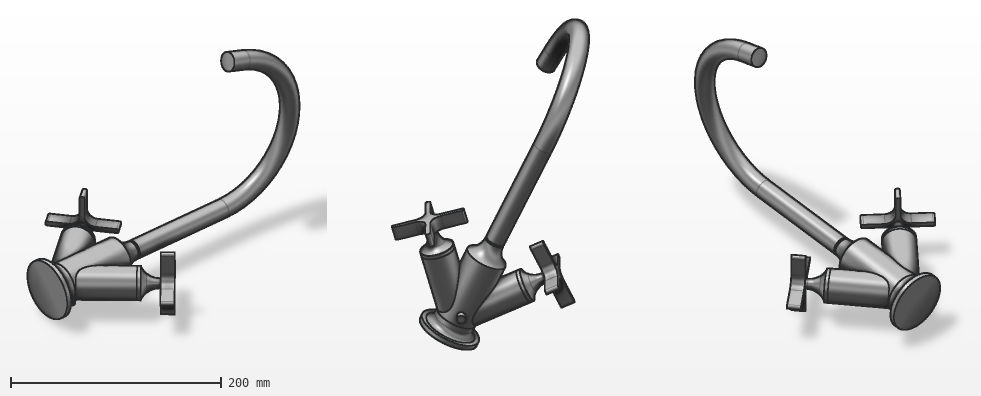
import cadquery as cq
import math


flange_radius = 30.0
flange_thickness = 5.0
flare_start_radius = 25.5
flare_end_y = 12.3
base_top_y = 17.8

body_radius = 20.3
shoulder_y = 87.0
neck_top_y = 104.7

arm_angle = 40.0
arm_origin_y = 20.0
arm_radius = 16.5
arm_length = 70.0

spout_radius = 9.5
spout_bend_radius = 82.5
spout_bend_angle = 162.0
spout_outlet_length = 20.0
spout_reach_y = 307.0
groove_width = 1.5
groove_depth = 0.5

bonnet_rim_end = 73.7
bonnet_flare_end_radius = 16.0
bonnet_flare_start = 79.0
bonnet_flare_radius = 9.2
stem_start = 91.2
stem_radius = 5.0

handle_half_span = 35.5
handle_height = 13.5
blade_thickness = 5.0
handle_corner_radius = 10.0
handle_starts = {-1: 93.3, 1: 92.5}

rod_radius = 4.0
rod_y = 29.2
rod_end_z = -28.2


def tangent_arc_middle(start, end):
    """Middle point of the concave arc from start to end whose tangent at end is parallel to Y.

    Points are (distance from the axis, Y), and the arc narrows from start to end.
    """
    rise = start[0] - end[0]
    run = end[1] - start[1]
    radius = (rise**2 + run**2) / (2 * rise)
    half_sweep = math.asin(run / radius) / 2
    return (
        end[0] + radius * (1 - math.cos(half_sweep)),
        end[1] - radius * math.sin(half_sweep),
    )


def revolve_about_y(profile):
    return profile.close().revolve(360, (0, 0, 0), (0, 1, 0))


def cylinder_along_y(radius, start_y, end_y):
    return cq.Workplane("XZ", origin=(0, start_y, 0)).circle(radius).extrude(start_y - end_y)


def place_on_arm(shape, side):
    """Move a shape built along +Y from the origin onto the left (side -1) or right (side +1) arm."""
    turned = shape.rotate((0, 0, 0), (0, 0, 1), -side * arm_angle)
    return turned.translate((0, arm_origin_y, 0))


def make_base():
    flare_start = (flare_start_radius, flange_thickness)
    flare_end = (body_radius, flare_end_y)
    return revolve_about_y(
        cq.Workplane("XY")
        .lineTo(flange_radius, 0)
        .lineTo(flange_radius, flange_thickness)
        .lineTo(*flare_start)
        .threePointArc(tangent_arc_middle(flare_start, flare_end), flare_end)
        .lineTo(body_radius, base_top_y)
        .lineTo(0, base_top_y)
    )


def make_body(base):
    shoulder = (body_radius, shoulder_y)
    neck_top = (spout_radius, neck_top_y)
    body = revolve_about_y(
        cq.Workplane("XY")
        .moveTo(0, base_top_y)
        .lineTo(body_radius, base_top_y)
        .lineTo(*shoulder)
        .threePointArc(tangent_arc_middle(shoulder, neck_top), neck_top)
        .lineTo(0, neck_top_y)
    )
    for side in (-1, 1):
        body = body.union(place_on_arm(cylinder_along_y(arm_radius, 0, arm_length), side))
    return body.cut(base)


def make_spout():
    tube_start_y = neck_top_y + groove_width
    bend_start_y = spout_reach_y - spout_radius - spout_bend_radius

    def on_bend(angle):
        turn = math.radians(angle)
        return (
            bend_start_y + spout_bend_radius * math.sin(turn),
            spout_bend_radius * (1 - math.cos(turn)),
        )

    outlet_direction = math.radians(spout_bend_angle)
    bend_end = on_bend(spout_bend_angle)
    outlet_end = (
        bend_end[0] + spout_outlet_length * math.cos(outlet_direction),
        bend_end[1] + spout_outlet_length * math.sin(outlet_direction),
    )
    centerline = (
        cq.Workplane("YZ")
        .moveTo(tube_start_y, 0)
        .lineTo(bend_start_y, 0)
        .threePointArc(on_bend(spout_bend_angle / 2), bend_end)
        .lineTo(*outlet_end)
    )
    tube = cq.Workplane("XZ", origin=(0, tube_start_y, 0)).circle(spout_radius).sweep(centerline)
    foot = cylinder_along_y(spout_radius - groove_depth, neck_top_y, tube_start_y)
    return tube.union(foot)


def make_bonnet(side):
    flare_start = (bonnet_flare_radius, bonnet_flare_start)
    taper_end = (stem_radius, stem_start)
    stem_end = handle_starts[side]
    bonnet = revolve_about_y(
        cq.Workplane("XY")
        .moveTo(0, stem_end)
        .lineTo(stem_radius, stem_end)
        .lineTo(*taper_end)
        .threePointArc(tangent_arc_middle(flare_start, taper_end), flare_start)
        .tangentArcPoint((bonnet_flare_end_radius, bonnet_rim_end), relative=False)
        .lineTo(arm_radius, bonnet_rim_end)
        .lineTo(arm_radius, arm_length)
        .lineTo(0, arm_length)
    )
    return place_on_arm(bonnet, side)


def make_handle(side):
    start = handle_starts[side]
    plane = cq.Workplane("XZ", origin=(0, start, 0))
    span = 2 * handle_half_span
    level_blade = plane.slot2D(span, blade_thickness).extrude(-handle_height)
    upright_blade = plane.slot2D(span, blade_thickness, 90).extrude(-handle_height)
    corner_center = blade_thickness / 2 + handle_corner_radius
    core = (
        plane.rect(2 * corner_center, 2 * corner_center)
        .extrude(-handle_height)
        .cut(
            plane.rect(2 * corner_center, 2 * corner_center, forConstruction=True)
            .vertices()
            .circle(handle_corner_radius)
            .extrude(-handle_height)
        )
    )
    handle = level_blade.union(upright_blade).union(core)
    return place_on_arm(handle, side)


def make_rod(body):
    rod = cq.Workplane("XY", origin=(0, rod_y, 0)).circle(rod_radius).extrude(rod_end_z)
    return rod.cut(body)


base = make_base()
body = make_body(base)
spout = make_spout()
bonnets = [make_bonnet(side) for side in handle_starts]
handles = [make_handle(side) for side in handle_starts]
rod = make_rod(body)

result = cq.Compound.makeCompound(
    [base.val(), body.val(), spout.val(), rod.val()]
    + [bonnet.val() for bonnet in bonnets]
    + [handle.val() for handle in handles]
)